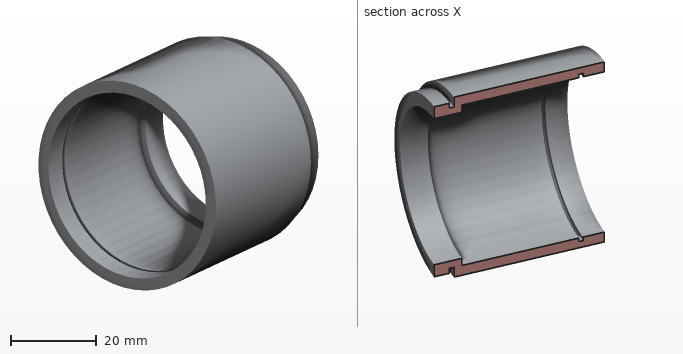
import cadquery as cq

total_length = 43.1
outer_diameter = 50.8
neck_diameter = 41.0
neck_length = 7.0

main_bore_diameter = 45.0
main_bore_depth = total_length - neck_length

ring_groove_diameter = 47.0
ring_groove_start = 5.5
ring_groove_width = 1.0

collar_diameter = 48.0
collar_length = 3.95

outer_groove_diameter = 45.3
outer_groove_width = 1.0

outer_groove_end = total_length - collar_length
body_length = outer_groove_end - outer_groove_width


def cylinder(diameter, start, end):
    """Solid cylinder about the Y axis between two Y positions."""
    plane = cq.Workplane("XZ", origin=(0, start, 0))
    return plane.circle(diameter / 2).extrude(start - end)


body = cylinder(outer_diameter, 0, body_length)
groove_floor = cylinder(outer_groove_diameter, body_length, outer_groove_end)
collar = cylinder(collar_diameter, outer_groove_end, total_length)
sleeve = body.union(groove_floor).union(collar)

main_bore = cylinder(main_bore_diameter, 0, main_bore_depth)
neck = cylinder(neck_diameter, 0, total_length)
ring_groove = cylinder(ring_groove_diameter, ring_groove_start, ring_groove_start + ring_groove_width)

result = sleeve.cut(main_bore).cut(neck).cut(ring_groove)